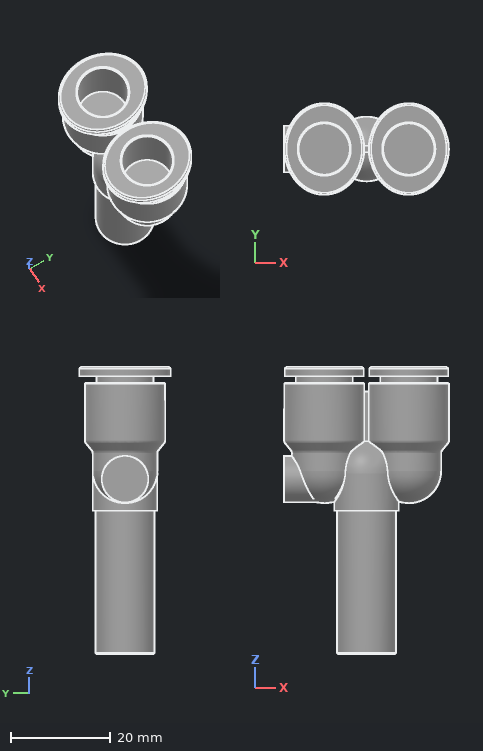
import cadquery as cq

total_height = 58.0
socket_offset = 8.5

collar_width = 16.0
collar_depth = 18.5
collar_thickness = 2.0
collar_chamfer = 0.4
neck_diameter = 11.6

barrel_radius = 8.1
barrel_top_z = 54.8
barrel_top_chamfer = 0.3
cone_top_z = 42.8
shank_radius = 6.55
cone_bottom_z = 40.9
cone_blend_radius = 0.75
shank_bottom_z = 37.0

bore_diameter = 10.3
bore_chamfer = 0.25

column_bottom_z = 28.95
column_dome_z = 36.5
stem_diameter = 11.95
stem_chamfer = 0.3

stub_radius = 4.7
stub_axis_z = 35.3
stub_end_x = -(socket_offset + barrel_radius)
web_thickness = 1.3
web_top_z = 53.0


def make_collar():
    """Oval plate with a chamfered upper rim."""
    return (
        cq.Workplane("XY")
        .workplane(offset=total_height - collar_thickness)
        .ellipse(collar_width / 2, collar_depth / 2)
        .extrude(collar_thickness)
        .faces(">Z")
        .chamfer(collar_chamfer)
    )


def make_neck():
    """Cylinder carrying the collar above the barrel."""
    neck_top_z = total_height - collar_thickness
    return (
        cq.Workplane("XY")
        .workplane(offset=barrel_top_z)
        .circle(neck_diameter / 2)
        .extrude(neck_top_z - barrel_top_z)
    )


def make_barrel():
    """Revolved barrel, cone and shank, with the cone blended at both ends."""
    barrel = (
        cq.Workplane("XZ")
        .moveTo(0, shank_bottom_z)
        .lineTo(shank_radius, shank_bottom_z)
        .lineTo(shank_radius, cone_bottom_z)
        .lineTo(barrel_radius, cone_top_z)
        .lineTo(barrel_radius, barrel_top_z)
        .lineTo(0, barrel_top_z)
        .close()
        .revolve(360, (0, 0, 0), (0, 1, 0))
    )
    barrel = barrel.faces(">Z").chamfer(barrel_top_chamfer)
    return barrel.faces("%CONE").faces("<Z").edges("%CIRCLE").fillet(cone_blend_radius)


def make_ball(z):
    """Round end with the radius of the shank, centred at height z."""
    return cq.Workplane("XY").sphere(shank_radius).translate((0, 0, z))


def make_bore():
    """Blind round bore from the collar down to the cone, widened by a chamfer at the mouth."""
    mouth_radius = bore_diameter / 2 + bore_chamfer
    return (
        cq.Workplane("XZ")
        .moveTo(0, cone_top_z)
        .lineTo(bore_diameter / 2, cone_top_z)
        .lineTo(bore_diameter / 2, total_height - bore_chamfer)
        .lineTo(mouth_radius, total_height)
        .lineTo(0, total_height)
        .close()
        .revolve(360, (0, 0, 0), (0, 1, 0))
    )


def make_column():
    """Centre column with a round top, and the plug stem below it."""
    stem = (
        cq.Workplane("XY")
        .circle(stem_diameter / 2)
        .extrude(column_bottom_z)
        .faces("<Z")
        .chamfer(stem_chamfer)
    )
    column = (
        cq.Workplane("XY")
        .workplane(offset=column_bottom_z)
        .circle(shank_radius)
        .extrude(column_dome_z - column_bottom_z)
    )
    return stem.union(column).union(make_ball(column_dome_z))


def make_stub():
    """Horizontal round stub from the -X side to the column axis."""
    return (
        cq.Workplane("YZ")
        .workplane(offset=stub_end_x)
        .center(0, stub_axis_z)
        .circle(stub_radius)
        .extrude(-stub_end_x)
    )


def make_web():
    """Thin wall filling the gap between the two barrels."""
    inner_bore_edge_x = socket_offset - bore_diameter / 2
    return (
        cq.Workplane("XY")
        .workplane(offset=column_dome_z)
        .rect(2 * inner_bore_edge_x, web_thickness)
        .extrude(web_top_z - column_dome_z)
    )


def make_socket():
    """One complete socket on the Z axis, before boring."""
    return make_barrel().union(make_ball(shank_bottom_z)).union(make_neck()).union(make_collar())


result = make_column().union(make_stub()).union(make_web())
for side in (-1, 1):
    result = result.union(make_socket().translate((side * socket_offset, 0, 0)))
for side in (-1, 1):
    result = result.cut(make_bore().translate((side * socket_offset, 0, 0)))